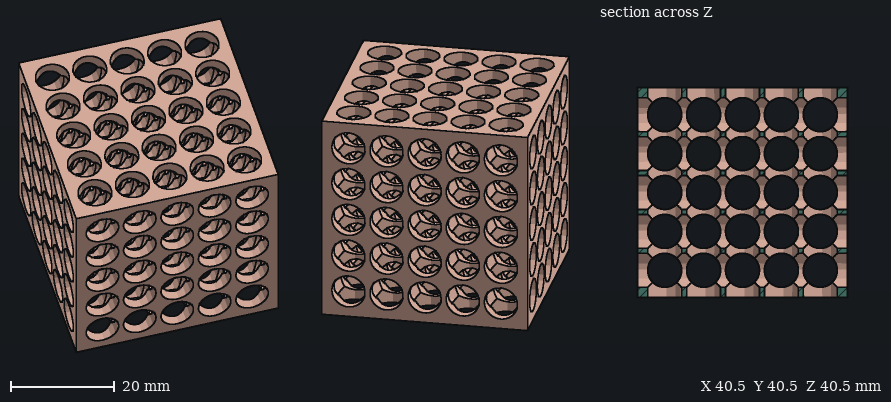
import cadquery as cq

cube_side = 40.5
hole_diameter = 6.5
hole_pitch = 7.5
holes_per_row = 5


def hole_grid(plane_name):
    """Grid of round bars through the whole cube, normal to the given plane."""
    return (
        cq.Workplane(plane_name)
        .rarray(hole_pitch, hole_pitch, holes_per_row, holes_per_row)
        .circle(hole_diameter / 2)
        .extrude(cube_side, both=True)
    )


result = cq.Workplane("XY").box(cube_side, cube_side, cube_side)
for plane_name in ("XY", "XZ", "YZ"):
    result = result.cut(hole_grid(plane_name))